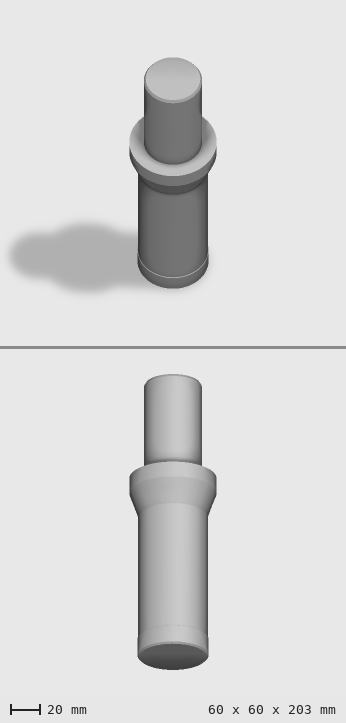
import cadquery as cq

total_length = 203.0
pin_diameter = 40.0
pin_chamfer_height = 2.0
pin_chamfer_width = 1.2

sleeve_length = 133.0
flange_diameter = 60.0
flange_thickness = 11.0
flare_height = 17.3
body_diameter = 48.0
collar_diameter = 49.0
collar_height = 13.0
collar_chamfer = 1.2

pin_radius = pin_diameter / 2
flange_radius = flange_diameter / 2
body_radius = body_diameter / 2
collar_radius = collar_diameter / 2
collar_fillet = collar_radius - body_radius
flange_bottom = sleeve_length - flange_thickness
flare_bottom = flange_bottom - flare_height


def revolve_about_z(profile):
    """Turn a closed (radius, height) profile a full revolution about Z."""
    return profile.close().revolve(360, (0, 0, 0), (0, 1, 0))


def make_pin():
    """Round bar with a chamfered top end."""
    return revolve_about_z(
        cq.Workplane("XZ")
        .lineTo(pin_radius, 0)
        .lineTo(pin_radius, total_length - pin_chamfer_height)
        .lineTo(pin_radius - pin_chamfer_width, total_length)
        .lineTo(0, total_length)
    )


def make_sleeve():
    """Bush with a chamfered, filleted bottom collar, a conical neck and a top flange, bored for the pin."""
    return revolve_about_z(
        cq.Workplane("XZ")
        .moveTo(pin_radius, 0)
        .lineTo(collar_radius - collar_chamfer, 0)
        .lineTo(collar_radius, collar_chamfer)
        .lineTo(collar_radius, collar_height)
        .radiusArc((body_radius, collar_height + collar_fillet), collar_fillet)
        .lineTo(body_radius, flare_bottom)
        .lineTo(flange_radius, flange_bottom)
        .lineTo(flange_radius, sleeve_length)
        .lineTo(pin_radius, sleeve_length)
    )


pin = make_pin()
sleeve = make_sleeve()

result = cq.Compound.makeCompound([pin.val(), sleeve.val()])